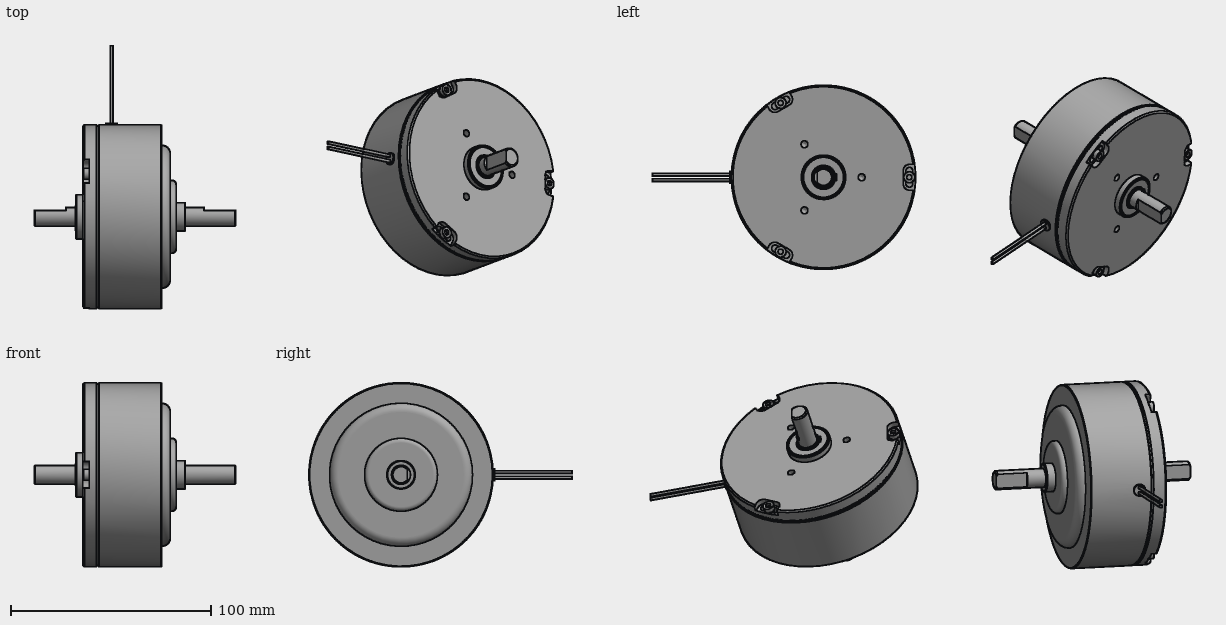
import cadquery as cq
import math


SHAFT_LENGTH = 100.79
SHAFT_DIAMETER = 9.53
SHAFT_START = -24.4
SHAFT_END = SHAFT_START + SHAFT_LENGTH
SHAFT_CHAMFER = 0.7
FLAT_LENGTH = 15.88
FLAT_HEIGHT = 7.94

BODY_DIAMETER = 92.05
BODY_RADIUS = BODY_DIAMETER / 2
PLATE_THICKNESS = 6.7
PLATE_CHAMFER = 0.79
GROOVE_WIDTH = 1.0
GROOVE_DEPTH = 0.6
DRUM_START = PLATE_THICKNESS + GROOVE_WIDTH
DRUM_END = 39.3
DRUM_CHAMFER = 0.4

DOME_DIAMETER = 71.49
DOME_HEIGHT = 4.4
DOME_ROUND = 4.35
CAP_DIAMETER = 36.5
CAP_HEIGHT = 2.9
CAP_ROUND = 2.2
REAR_COLLAR_DIAMETER = 14.28
REAR_COLLAR_HEIGHT = 4.6
DOME_END = DRUM_END + DOME_HEIGHT
CAP_END = DOME_END + CAP_HEIGHT
REAR_COLLAR_END = CAP_END + REAR_COLLAR_HEIGHT

PILOT_DIAMETER = 22.23
PILOT_HEIGHT = 3.55
RECESS_DIAMETER = 19.94
RECESS_DEPTH = 0.25
INNER_RACE_DIAMETER = 11.99
INNER_RACE_STEP = 0.1
COLLAR_CHAMFER = 0.4

RING_DIAMETER = 10.5
RING_OFFSET = 0.15
RING_PROTRUSION = 0.4
RING_THICKNESS = RING_PROTRUSION + RECESS_DEPTH - INNER_RACE_STEP
EAR_WIDTH = 3.5
EAR_REACH = 6.7
EAR_HOLE_DIAMETER = 1.04
EAR_HOLE_RADIUS = 5.8
EAR_HOLE_OFFSET = 0.8

MOUNT_HOLE_DIAMETER = 3.45
MOUNT_CIRCLE_RADIUS = 19.05
MOUNT_HOLE_DEPTH = 5.0
DRILL_POINT_ANGLE = 118

PATTERN_COUNT = 3
SCREW_CIRCLE_RADIUS = 42.86
NOTCH_WIDTH = 12.96
NOTCH_INNER_RADIUS = 39.8
NOTCH_CORNER_RADIUS = 3.2
NOTCH_FLARE_RADIUS = 0.6
NOTCH_DEPTH = 3.1
SLOT_WIDTH = 3.45
SLOT_LENGTH = 9.9
SCREW_HEAD_DIAMETER = 5.5
SCREW_HEAD_SETBACK = 0.4
SOCKET_DIAMETER = 2.6
SOCKET_DEPTH = 1.5

WIRE_DIAMETER = 1.5
WIRE_PITCH = 2.76
OVERALL_WIDTH = 131.45
WIRE_END = OVERALL_WIDTH - BODY_RADIUS
LEAD_POSITION = 14.3
GROMMET_DIAMETER = 5.89
GROMMET_PROTRUSION = 0.8
LEAD_EMBEDDING = 2.0


def disc(diameter, start, end):
    """Cylinder on the shaft axis between two X positions."""
    return cq.Workplane("YZ", origin=(start, 0, 0)).circle(diameter / 2).extrude(end - start)


def rotated_pattern(tool):
    """Copies of a tool built at -Y, equally spaced about the shaft axis."""
    step = 360 / PATTERN_COUNT
    copies = tool
    for index in range(1, PATTERN_COUNT):
        copies = copies.union(tool.rotate((0, 0, 0), (1, 0, 0), index * step))
    return copies


def make_housing():
    plate = disc(BODY_DIAMETER, 0, PLATE_THICKNESS).faces("<X").chamfer(PLATE_CHAMFER)
    groove_core = disc(BODY_DIAMETER - 2 * GROOVE_DEPTH, PLATE_THICKNESS, DRUM_START)
    drum = disc(BODY_DIAMETER, DRUM_START, DRUM_END).edges().chamfer(DRUM_CHAMFER)
    dome = disc(DOME_DIAMETER, DRUM_END, DOME_END).faces(">X").edges().fillet(DOME_ROUND)
    cap = disc(CAP_DIAMETER, DOME_END, CAP_END).faces(">X").edges().fillet(CAP_ROUND)
    collar = disc(REAR_COLLAR_DIAMETER, CAP_END, REAR_COLLAR_END).faces(">X").chamfer(COLLAR_CHAMFER)
    pilot = disc(PILOT_DIAMETER, -PILOT_HEIGHT, 0).faces("<X").chamfer(COLLAR_CHAMFER)
    recess_floor = -PILOT_HEIGHT + RECESS_DEPTH
    recess = disc(RECESS_DIAMETER, -PILOT_HEIGHT, recess_floor)
    inner_race = disc(INNER_RACE_DIAMETER, recess_floor - INNER_RACE_STEP, 0)
    housing = plate.union(groove_core).union(drum).union(dome)
    return housing.union(cap).union(collar).union(pilot).cut(recess).union(inner_race)


def make_shaft():
    shaft = disc(SHAFT_DIAMETER, SHAFT_START, SHAFT_END).faces("<X or >X").chamfer(SHAFT_CHAMFER)
    flat_y = FLAT_HEIGHT - SHAFT_DIAMETER / 2
    removed = cq.Workplane("XY").box(
        FLAT_LENGTH, SHAFT_DIAMETER, SHAFT_DIAMETER, centered=(False, False, True)
    )
    for start in (SHAFT_START, SHAFT_END - FLAT_LENGTH):
        shaft = shaft.cut(removed.translate((start, flat_y, 0)))
    return shaft


def make_retaining_ring():
    start = -PILOT_HEIGHT - RING_PROTRUSION
    plane = cq.Workplane("YZ", origin=(start, 0, 0))
    ring = plane.center(RING_OFFSET, 0).circle(RING_DIAMETER / 2).extrude(RING_THICKNESS)
    ears = plane.center(-EAR_REACH / 2, 0).rect(EAR_REACH, EAR_WIDTH).extrude(RING_THICKNESS)
    ears = ears.intersect(disc(2 * EAR_REACH, start, start + RING_THICKNESS))
    hole_centers = [(-EAR_HOLE_RADIUS, -EAR_HOLE_OFFSET), (-EAR_HOLE_RADIUS, EAR_HOLE_OFFSET)]
    holes = plane.pushPoints(hole_centers).circle(EAR_HOLE_DIAMETER / 2).extrude(RING_THICKNESS)
    return ring.union(ears).cut(holes)


def make_mounting_holes():
    radius = MOUNT_HOLE_DIAMETER / 2
    point_height = radius / math.tan(math.radians(DRILL_POINT_ANGLE / 2))
    profile = (
        cq.Workplane("XY", origin=(0, -MOUNT_CIRCLE_RADIUS, 0))
        .lineTo(0, radius)
        .lineTo(MOUNT_HOLE_DEPTH, radius)
        .lineTo(MOUNT_HOLE_DEPTH + point_height, 0)
        .close()
    )
    return rotated_pattern(profile.revolve(360, (0, 0, 0), (1, 0, 0)))


def make_notches():
    half_width = NOTCH_WIDTH / 2
    rim = math.sqrt(BODY_RADIUS**2 - half_width**2)
    open_end = BODY_RADIUS + NOTCH_FLARE_RADIUS
    flare_half_width = half_width + NOTCH_FLARE_RADIUS
    pocket = (
        cq.Workplane("YZ")
        .moveTo(-NOTCH_INNER_RADIUS, -half_width)
        .lineTo(-rim + NOTCH_FLARE_RADIUS, -half_width)
        .radiusArc((-rim, -flare_half_width), -NOTCH_FLARE_RADIUS)
        .lineTo(-open_end, -flare_half_width)
        .lineTo(-open_end, flare_half_width)
        .lineTo(-rim, flare_half_width)
        .radiusArc((-rim + NOTCH_FLARE_RADIUS, half_width), -NOTCH_FLARE_RADIUS)
        .lineTo(-NOTCH_INNER_RADIUS, half_width)
        .close()
        .extrude(NOTCH_DEPTH)
        .edges("|X and >Y")
        .fillet(NOTCH_CORNER_RADIUS)
    )
    slot = (
        cq.Workplane("YZ")
        .center(-SCREW_CIRCLE_RADIUS, 0)
        .slot2D(SLOT_LENGTH, SLOT_WIDTH, 90)
        .extrude(PLATE_THICKNESS)
    )
    return rotated_pattern(pocket.union(slot))


def make_screws():
    plane = cq.Workplane("YZ", origin=(SCREW_HEAD_SETBACK, -SCREW_CIRCLE_RADIUS, 0))
    head = plane.circle(SCREW_HEAD_DIAMETER / 2).extrude(NOTCH_DEPTH - SCREW_HEAD_SETBACK)
    shank = plane.circle(SLOT_WIDTH / 2).extrude(PLATE_THICKNESS - SCREW_HEAD_SETBACK)
    socket = plane.circle(SOCKET_DIAMETER / 2).extrude(SOCKET_DEPTH)
    return rotated_pattern(head.union(shank).cut(socket))


def make_leads():
    base = BODY_RADIUS - LEAD_EMBEDDING
    plane = cq.Workplane("XZ", origin=(LEAD_POSITION, base, 0))
    leads = plane.circle(GROMMET_DIAMETER / 2).extrude(-(LEAD_EMBEDDING + GROMMET_PROTRUSION))
    for offset in (-WIRE_PITCH / 2, WIRE_PITCH / 2):
        wire = plane.center(0, offset).circle(WIRE_DIAMETER / 2).extrude(-(WIRE_END - base))
        leads = leads.union(wire)
    return leads


result = (
    make_housing()
    .cut(make_mounting_holes())
    .cut(make_notches())
    .union(make_screws())
    .union(make_retaining_ring())
    .union(make_shaft())
    .union(make_leads())
)